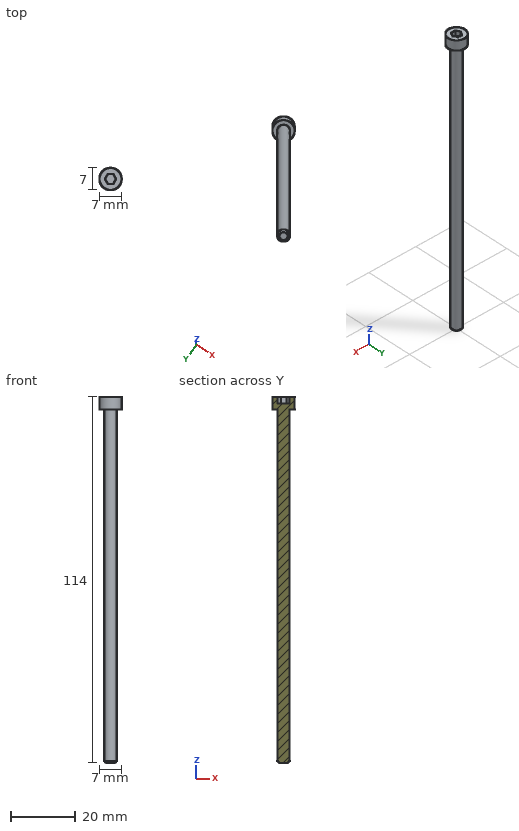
import cadquery as cq
import math

shank_diameter = 4.0
shank_length = 110.0
head_diameter = 7.0
head_height = 4.0
socket_sides = 6
socket_across_flats = 3.0
socket_depth = 2.0
tip_chamfer = 0.7


def make_head():
    return cq.Workplane("XY").circle(head_diameter / 2).extrude(head_height)


def make_shank():
    shank = cq.Workplane("XY").circle(shank_diameter / 2).extrude(-shank_length)
    return shank.faces("<Z").chamfer(tip_chamfer)


def make_socket():
    across_corners = socket_across_flats / math.cos(math.pi / socket_sides)
    socket_floor = cq.Workplane("XY").workplane(offset=head_height - socket_depth)
    return socket_floor.polygon(socket_sides, across_corners).extrude(socket_depth)


result = make_head().union(make_shank()).cut(make_socket())